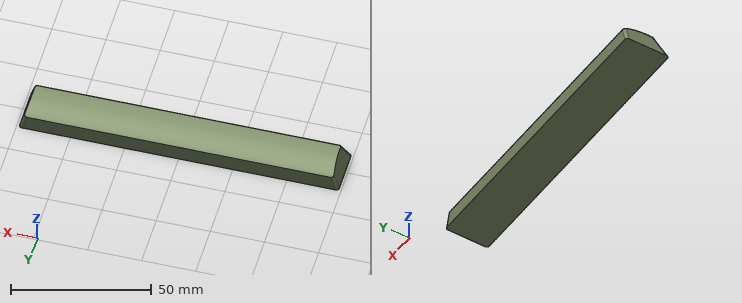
import cadquery as cq
import math

length = 118.1
depth = 18.1
height = 9.0

front_run = 4.5
crown_radius = 21.3
crest_to_back = 10.6

end_run = 2.6
corner_radius = 1.1
front_edge_radius = 0.4

back_y = depth / 2
front_y = -depth / 2
crest_y = back_y - crest_to_back


def crown_height(y):
    """Height of the crowned top at position y."""
    drop = crown_radius - math.sqrt(crown_radius**2 - (y - crest_y) ** 2)
    return height - drop


def crowned_bar():
    """Bar, longer than the part, with the arched cross-section and a rounded front top edge."""
    top_front_y = front_y + front_run
    return (
        cq.Workplane("YZ")
        .moveTo(front_y, 0)
        .lineTo(back_y, 0)
        .lineTo(back_y, crown_height(back_y))
        .threePointArc((crest_y, height), (top_front_y, crown_height(top_front_y)))
        .close()
        .extrude(length, both=True)
        .faces("<Y")
        .edges(">Z")
        .fillet(front_edge_radius)
    )


def tapered_block():
    """Flat-topped block with the sloped front and ends, rounded at its four upright corners."""
    half_base = length / 2
    half_top = half_base - end_run
    block_top_front_y = front_y + front_run * height / crown_height(front_y + front_run)
    ends = (
        cq.Workplane("XZ")
        .polyline([(-half_base, 0), (half_base, 0), (half_top, height), (-half_top, height)])
        .close()
        .extrude(depth, both=True)
    )
    sides = (
        cq.Workplane("YZ")
        .polyline([(front_y, 0), (back_y, 0), (back_y, height), (block_top_front_y, height)])
        .close()
        .extrude(length / 2, both=True)
    )
    return sides.intersect(ends).edges("not (|X or |Y)").fillet(corner_radius)


result = tapered_block().intersect(crowned_bar())